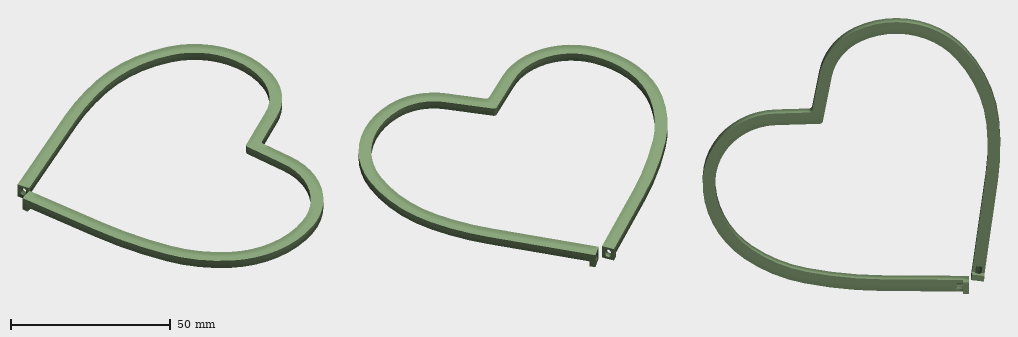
import cadquery as cq
import math

BAR_WIDTH = 4.0
BAR_HEIGHT = 3.1
NOTCH_Y = 76.4
NOTCH_RISE = 38.9
NOTCH_ARM = 4.0
NOTCH_FILLET = 1.0

LEFT_NOTCH_RUN = 14.8
LEFT_ARCS = [(19.1, 52.3), (26.5, 77.0), (43.1, 34.9), (83.7, 12.9)]
LEFT_END_RUN = 34.5
RIGHT_NOTCH_RUN = 12.9
RIGHT_ARCS = [(21.7, 85.9), (30.4, 55.6), (45.8, 24.7), (122.6, 11.5)]
RIGHT_END_RUN = 27.0

LUG_LENGTH = 1.9
LEFT_LUG_DROP = 2.1
RIGHT_LUG_DROP = 1.8
SLOT_WIDTH = 2.0
SLOT_HEIGHT = 3.1
SLOT_CENTER_DEPTH = 2.4
SLOT_LENGTH = 4.0


def half_bar(side, notch_run, arcs, end_run):
    """Bar of one half (side: -1 left, 1 right), its end point and the inward direction there."""
    heading = math.radians(NOTCH_RISE)
    along = (side * math.cos(heading), math.sin(heading), 0)
    start = (NOTCH_ARM * along[0], NOTCH_Y + NOTCH_ARM * along[1])
    section = cq.Plane((*start, -BAR_HEIGHT / 2), normal=along, xDir=(-along[1], along[0], 0))
    x = notch_run * math.cos(heading)
    y = NOTCH_Y + notch_run * math.sin(heading)
    path = cq.Workplane("XY", origin=(0, 0, -BAR_HEIGHT / 2)).moveTo(*start).lineTo(side * x, y)

    for radius, turn in arcs:
        center_x = x + radius * math.sin(heading)
        center_y = y - radius * math.cos(heading)
        middle = heading - math.radians(turn) / 2
        heading -= math.radians(turn)
        mid_point = (side * (center_x - radius * math.sin(middle)), center_y + radius * math.cos(middle))
        x = center_x - radius * math.sin(heading)
        y = center_y + radius * math.cos(heading)
        path = path.threePointArc(mid_point, (side * x, y))

    x += end_run * math.cos(heading)
    y += end_run * math.sin(heading)
    path = path.lineTo(side * x, y)
    inward = (-side * math.cos(heading), -math.sin(heading))
    bar = cq.Workplane(section).rect(BAR_WIDTH, BAR_HEIGHT).sweep(path)
    return bar, (side * x, y), inward


def notch_corner():
    """V-shaped piece that joins the two halves, with both of its corners rounded."""
    rise = math.radians(NOTCH_RISE)
    miter = BAR_WIDTH / 2 / math.cos(rise)
    arm_x = NOTCH_ARM * math.cos(rise)
    arm_y = NOTCH_Y + NOTCH_ARM * math.sin(rise)
    across_x = BAR_WIDTH / 2 * math.sin(rise)
    across_y = BAR_WIDTH / 2 * math.cos(rise)
    outline = [
        (0, NOTCH_Y - miter),
        (arm_x + across_x, arm_y - across_y),
        (arm_x - across_x, arm_y + across_y),
        (0, NOTCH_Y + miter),
        (across_x - arm_x, arm_y + across_y),
        (-arm_x - across_x, arm_y - across_y),
    ]
    corner = cq.Workplane("XY").polyline(outline).close().extrude(-BAR_HEIGHT)
    notch_edges = cq.selectors.BoxSelector((-0.1, 0, -BAR_HEIGHT), (0.1, 2 * NOTCH_Y, 0))
    return corner.edges("|Z").edges(notch_edges).fillet(NOTCH_FILLET)


def end_plane(end, inward, z):
    """Plane on the end face, its normal pointing into the bar."""
    return cq.Plane((*end, z), xDir=(inward[1], -inward[0], 0), normal=(*inward, 0))


def add_lug(bar, end, inward, drop):
    """Hang a lug under the bar end and pierce both with a round-ended slot."""
    lug_height = BAR_HEIGHT + drop
    lug = (cq.Workplane(end_plane(end, inward, -lug_height / 2))
           .rect(BAR_WIDTH, lug_height).extrude(LUG_LENGTH))
    slot = (cq.Workplane(end_plane(end, inward, -SLOT_CENTER_DEPTH))
            .slot2D(SLOT_HEIGHT, SLOT_WIDTH, 90).extrude(SLOT_LENGTH))
    return bar.union(lug).cut(slot)


left_bar = add_lug(*half_bar(-1, LEFT_NOTCH_RUN, LEFT_ARCS, LEFT_END_RUN), LEFT_LUG_DROP)
right_bar = add_lug(*half_bar(1, RIGHT_NOTCH_RUN, RIGHT_ARCS, RIGHT_END_RUN), RIGHT_LUG_DROP)

result = left_bar.union(notch_corner()).union(right_bar)